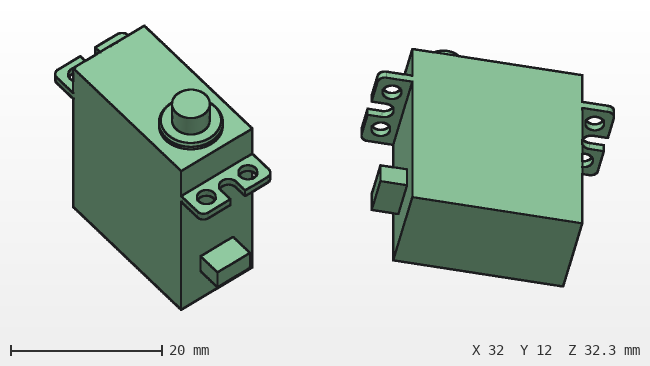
import cadquery as cq

case_length = 23.03
case_width = 12.0
case_height = 28.0

ear_span = 32.0
ear_bottom = 21.8
ear_thickness = 1.15
ear_corner_radius = 1.0
hole_diameter = 2.5
hole_spacing_x = 27.45
hole_spacing_y = 7.0
slot_width = 2.5
slot_depth = 3.23

shaft_x = 6.0
boss_diameter = 8.5
boss_height = 1.0
boss_chamfer_height = 0.5
boss_chamfer_width = 0.25
shaft_diameter = 5.0
total_height = 32.3

cable_length = 3.62
cable_width = 5.5
cable_bottom = 5.5
cable_height = 3.0


def make_case():
    return cq.Workplane("XY").box(case_length, case_width, case_height, centered=(True, True, False))


def make_ears():
    """One plate through the case forms both ears, with holes and open-ended slots."""
    plate = (
        cq.Workplane("XY")
        .workplane(offset=ear_bottom)
        .rect(ear_span, case_width)
        .extrude(ear_thickness)
        .edges("|Z")
        .fillet(ear_corner_radius)
    )
    holes = (
        cq.Workplane("XY")
        .workplane(offset=ear_bottom)
        .rect(hole_spacing_x, hole_spacing_y, forConstruction=True)
        .vertices()
        .circle(hole_diameter / 2)
        .extrude(ear_thickness)
    )
    slots = (
        cq.Workplane("XY")
        .workplane(offset=ear_bottom)
        .pushPoints([(-ear_span / 2, 0), (ear_span / 2, 0)])
        .slot2D(2 * slot_depth, slot_width)
        .extrude(ear_thickness)
    )
    return plate.cut(holes).cut(slots)


def make_output():
    """Chamfered boss on top of the case, carrying the output shaft."""
    boss = (
        cq.Workplane("XY", origin=(shaft_x, 0, case_height))
        .circle(boss_diameter / 2)
        .extrude(boss_height)
        .faces(">Z")
        .chamfer(boss_chamfer_height, boss_chamfer_width)
    )
    shaft = (
        cq.Workplane("XY", origin=(shaft_x, 0, case_height))
        .circle(shaft_diameter / 2)
        .extrude(total_height - case_height)
    )
    return boss.union(shaft)


def make_cable_exit():
    return cq.Workplane("XY", origin=(case_length / 2, 0, cable_bottom)).box(
        cable_length, cable_width, cable_height, centered=(False, True, False)
    )


result = make_case().union(make_ears()).union(make_output()).union(make_cable_exit())